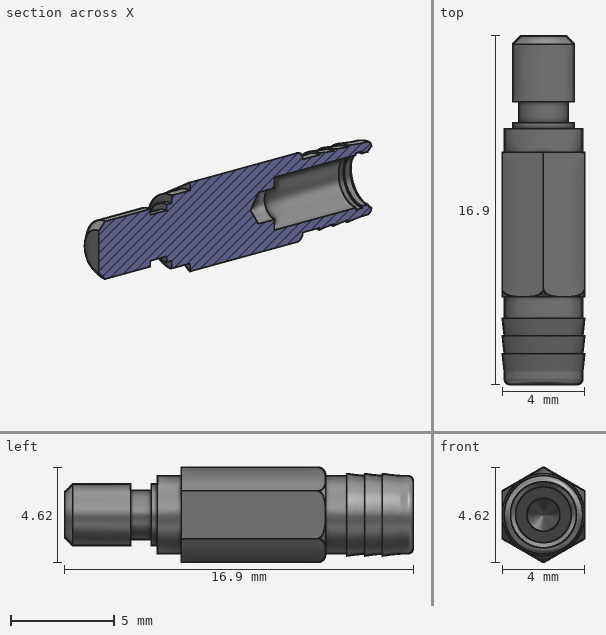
import cadquery as cq
import math


total_length = 16.9
across_flats = 4.0
hex_length = 7.0
hex_start = 4.25
hex_round = 0.4

body_radius = 1.9
collar_length = 1.15

barb_radius = 2.0
barb_count = 3
barb_pitch = 0.865
barb_start = 0.635
mouth_round = 0.3

pin_radius = 1.5
pin_chamfer = 0.4
shoulder_length = 0.3
neck_radius = 1.2
neck_length = 1.0

mouth_chamfer = 0.25
bore_radius = 1.35
lip_length = 0.35
groove_radius = 1.45
groove_length = 0.375
bore_depth = 6.0
pilot_radius = 0.8
pilot_depth = 1.0
drill_point_angle = 118.0

hex_end = hex_start + hex_length
collar_end = hex_end + collar_length
neck_start = collar_end + shoulder_length
neck_end = neck_start + neck_length
corner_radius = across_flats / math.sqrt(3)


def revolve_about_y(profile):
    """Turn a closed (radius, Y) profile a full revolution about the Y axis."""
    return profile.close().revolve(360, (0, 0, 0), (0, 1, 0))


def rounded_corner(profile, radius, start, rounding):
    """From the current point go out along Y = start and round a quarter turn up to the given radius."""
    rise = rounding * (1 - math.sqrt(0.5))
    return (
        profile.lineTo(radius - rounding, start)
        .threePointArc((radius - rise, start + rise), (radius, start + rounding))
    )


def turned_body():
    """Barbed end, collar and grooved pin."""
    profile = rounded_corner(cq.Workplane("XY"), body_radius, 0, mouth_round)
    profile = profile.lineTo(body_radius, barb_start)
    for index in range(barb_count):
        barb_end = barb_start + (index + 1) * barb_pitch
        profile = profile.lineTo(barb_radius, barb_end).lineTo(body_radius, barb_end)
    profile = (
        profile.lineTo(body_radius, collar_end)
        .lineTo(pin_radius, collar_end)
        .lineTo(pin_radius, neck_start)
        .lineTo(neck_radius, neck_start)
        .lineTo(neck_radius, neck_end)
        .lineTo(pin_radius, neck_end)
        .lineTo(pin_radius, total_length - pin_chamfer)
        .lineTo(pin_radius - pin_chamfer, total_length)
        .lineTo(0, total_length)
    )
    return revolve_about_y(profile)


def hex_grip():
    """Hexagon with corners on Z and its barb-side corners rounded off by turning."""
    corners = []
    for index in range(6):
        angle = math.radians(60 * index)
        corners.append((corner_radius * math.sin(angle), corner_radius * math.cos(angle)))
    hexagon = (
        cq.Workplane("XZ", origin=(0, hex_start, 0))
        .polyline(corners)
        .close()
        .extrude(-hex_length)
    )
    axis_start = cq.Workplane("XY").moveTo(0, hex_start)
    envelope = revolve_about_y(
        rounded_corner(axis_start, corner_radius, hex_start, hex_round)
        .lineTo(corner_radius, hex_end)
        .lineTo(0, hex_end)
    )
    return hexagon.intersect(envelope)


def socket():
    """Chamfered mouth, lip, groove, then a blind bore with a drilled pilot hole in its floor."""
    lip_end = mouth_chamfer + lip_length
    groove_end = lip_end + groove_length
    pilot_end = bore_depth + pilot_depth
    point_length = pilot_radius / math.tan(math.radians(drill_point_angle / 2))
    return revolve_about_y(
        cq.Workplane("XY")
        .lineTo(bore_radius + mouth_chamfer, 0)
        .lineTo(bore_radius, mouth_chamfer)
        .lineTo(bore_radius, lip_end)
        .lineTo(groove_radius, lip_end)
        .lineTo(groove_radius, groove_end)
        .lineTo(bore_radius, groove_end)
        .lineTo(bore_radius, bore_depth)
        .lineTo(pilot_radius, bore_depth)
        .lineTo(pilot_radius, pilot_end)
        .lineTo(0, pilot_end + point_length)
    )


result = turned_body().union(hex_grip()).cut(socket())